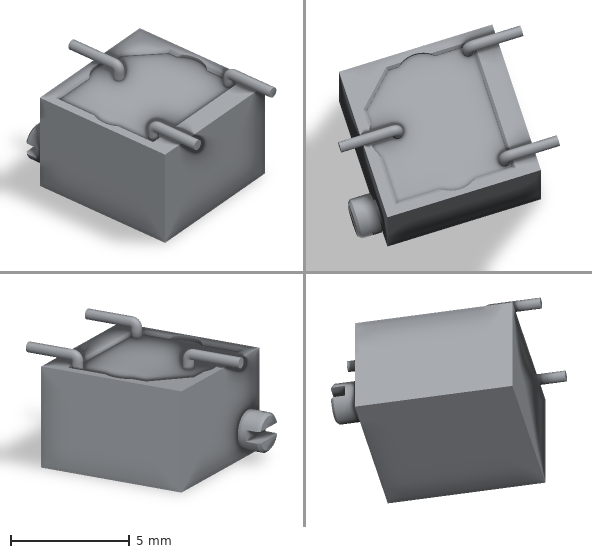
import cadquery as cq


body_length = 6.80
body_width = 6.71
body_height = 4.50

recess_left = -2.93
recess_right = 2.42
recess_half_width = 2.94
recess_corner_cut = 1.49
recess_depth = 0.165
recess_bevel = 0.127
recess_bevel_angle = 45
bulge_radius = 1.23
bulge_reach_y = 3.12
bulge_reach_x = 3.08
side_bulge_x = -0.12

lead_diameter = 0.465
lead_bend_radius = 0.24
lead_top = 5.21
lead_pitch = 2.53
lead_embed = 0.20
lead_row_y = 0.055
left_leg_x = -1.87
left_tip_x = -4.42
right_leg_x = 2.07
right_tip_x = 4.45

screw_y = -2.13
screw_z = 1.25
neck_diameter = 1.12
neck_length = 0.12
head_diameter = 1.74
head_length = 1.02
head_chamfer = 0.12
slot_width = 0.52
slot_depth = 0.64

recess_floor = body_height - recess_depth


def make_housing():
    return cq.Workplane("XY").box(
        body_length, body_width, body_height, centered=(True, True, False)
    )


def make_recess():
    """Solid removed from the top face: a bevelled rim above a short upright wall, plus the bulges."""
    rim = (
        cq.Workplane("XY", origin=(0, 0, body_height))
        .moveTo(recess_left, -recess_half_width)
        .lineTo(recess_right, -recess_half_width)
        .lineTo(recess_right, recess_half_width)
        .lineTo(recess_left + recess_corner_cut, recess_half_width)
        .lineTo(recess_left, recess_half_width - recess_corner_cut)
        .close()
        .extrude(-recess_bevel, taper=recess_bevel_angle)
    )
    outline = rim.faces("<Z").wires().toPending().workplane().extrude(recess_depth - recess_bevel)

    bulge_y = bulge_reach_y - bulge_radius
    bulge_centres = [
        (side_bulge_x, bulge_y),
        (side_bulge_x, -bulge_y),
        (bulge_radius - bulge_reach_x, 0),
    ]
    bulges = (
        cq.Workplane("XY", origin=(0, 0, recess_floor))
        .pushPoints(bulge_centres)
        .circle(bulge_radius)
        .extrude(recess_depth)
    )
    return outline.union(bulges)


def make_lead(leg_x, tip_x, y):
    """Round wire rooted below the recess floor and bending towards tip_x."""
    direction = 1 if tip_x > leg_x else -1
    axis_height = lead_top - lead_diameter / 2
    bend_start = axis_height - lead_bend_radius
    bend_end_x = leg_x + direction * lead_bend_radius
    leg_base = recess_floor - lead_embed

    leg = (
        cq.Workplane("XY", origin=(leg_x, y, leg_base))
        .circle(lead_diameter / 2)
        .extrude(bend_start - leg_base)
    )
    bend = (
        cq.Workplane("XY", origin=(leg_x, y, bend_start))
        .circle(lead_diameter / 2)
        .revolve(
            90,
            (direction * lead_bend_radius, 0, 0),
            (direction * lead_bend_radius, direction, 0),
        )
    )
    run = (
        cq.Workplane("YZ", origin=(bend_end_x, y, axis_height))
        .circle(lead_diameter / 2)
        .extrude(tip_x - bend_end_x)
    )
    return leg.union(bend).union(run)


def make_screw():
    """Slotted cylindrical screw head on a short neck, pointing along -X."""
    neck_start = -body_length / 2
    head_start = neck_start - neck_length
    head_end = head_start - head_length

    neck = (
        cq.Workplane("YZ", origin=(neck_start, screw_y, screw_z))
        .circle(neck_diameter / 2)
        .extrude(-neck_length)
    )
    head = (
        cq.Workplane("YZ", origin=(head_start, screw_y, screw_z))
        .circle(head_diameter / 2)
        .extrude(-head_length)
        .faces("<X")
        .chamfer(head_chamfer)
    )
    slot = cq.Workplane("XY", origin=(head_end, screw_y, screw_z)).box(
        slot_depth, head_diameter, slot_width, centered=(False, True, True)
    )
    return neck.union(head.cut(slot))


result = make_housing().cut(make_recess())
result = result.union(make_lead(left_leg_x, left_tip_x, lead_row_y))
for side in (1, -1):
    result = result.union(make_lead(right_leg_x, right_tip_x, lead_row_y + side * lead_pitch))
result = result.union(make_screw())